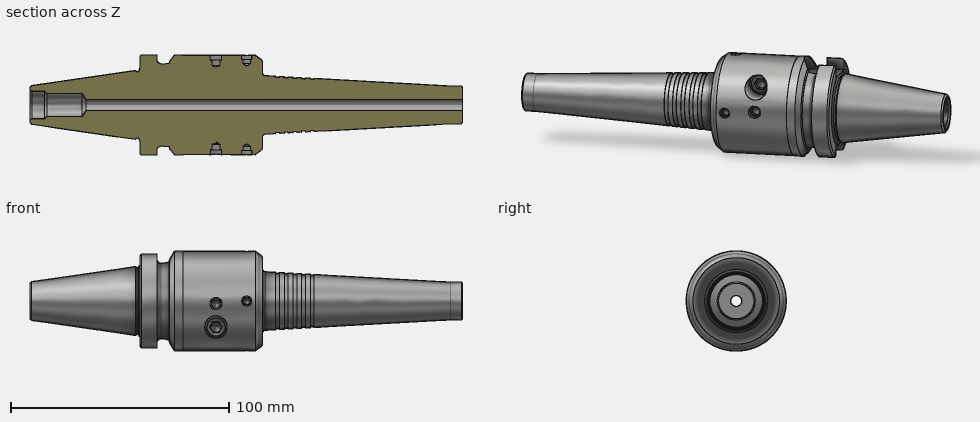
import cadquery as cq
import math


overall_length = 198.4
taper_ratio = 7 / 24
gauge_radius = 15.9
taper_length = 48.5
taper_start_radius = gauge_radius - taper_ratio / 2 * taper_length
taper_edge = 0.8
relief_end = 50.4
relief_depth = 0.5
relief_flare = 0.5
relief_flare_radius = 17.0
flange_radius = 23.0
flange_end = 58.3
flange_edge = 0.8

groove_floor_radius = 19.0
groove_fillet_width = 1.8
groove_fillet_height = 1.5
groove_floor_end = 63.7
groove_step = 0.4
groove_step_radius = 20.2
groove_end = 66.3

collar_end = 70.2
collar_radius = flange_radius
collar_step = 0.1
body_radius = collar_radius - collar_step
body_straight_end = 103.4
body_cone_end = 105.0
body_cone_radius = 21.6
body_end = 106.7
body_face_radius = 19.8
arc_bulge = 0.2

nose_root_radius = 14.5
nose_fillet_end = 108.1
nose_taper_start_radius = 13.5
nose_taper_end = 192.8
nose_tip_radius = 8.7
tip_edge = 0.5
neck_groove_first = 112.7
neck_groove_pitch = 4.0
neck_groove_count = 5
neck_groove_width = 1.8
neck_groove_depth = 0.4

mouth_radius = 7.1
pilot_radius = 12.5 / 2
pilot_depth = 6.7
thread_radius = 10.5 / 2
thread_depth = 24.0
coolant_radius = 5.0 / 2

slot_width = 16.0
slot_floor = 16.3
slot_end = 67.0

drill_point_angle = 118.0
entry_overrun = 2.0
flange_screw_x = 55.4
flange_screw_diameters = [4.2, 3.4, 2.4]
flange_screw_step = 1.0
body_screw_x = 99.4
body_screw_diameters = [4.5, 3.4]
body_screw_step = 2.0

clamp_x = 85.3
clamp_offset = 12.0
clamp_diameter = 10.3
clamp_chamfer = 1.0
clamp_depth = 12.0
socket_across_flats = 5.0
socket_depth = 3.0
pin_offset = 1.2
pin_diameters = [5.5, 4.2]
pin_step = 2.4


def nose_radius(x):
    """Radius of the nose taper at a place along the axis."""
    slope = (nose_taper_start_radius - nose_tip_radius) / (nose_taper_end - nose_fillet_end)
    return nose_taper_start_radius - slope * (x - nose_fillet_end)


def revolve_profile(profile):
    return profile.close().revolve(360, (0, 0, 0), (1, 0, 0))


def make_blank():
    relief_radius = gauge_radius - relief_depth
    groove_fillet_radius = (groove_fillet_width**2 + groove_fillet_height**2) / (2 * groove_fillet_height)
    half_width_square = (groove_fillet_width / 2) ** 2
    groove_fillet_middle = groove_fillet_radius - math.sqrt(groove_fillet_radius**2 - half_width_square)
    body_corner_x = (body_cone_end + body_end) / 2 + arc_bulge
    body_corner_radius = (body_cone_radius + body_face_radius) / 2 + arc_bulge
    nose_fillet_x = (body_end + nose_fillet_end) / 2 - arc_bulge
    nose_fillet_radius = (nose_root_radius + nose_taper_start_radius) / 2 - arc_bulge
    profile = (
        cq.Workplane("XY")
        .moveTo(0, 0)
        .lineTo(0, taper_start_radius - taper_edge)
        .lineTo(taper_edge, taper_start_radius + taper_ratio / 2 * taper_edge)
        .lineTo(taper_length, gauge_radius)
        .lineTo(taper_length + relief_depth, relief_radius)
        .lineTo(relief_end - relief_flare, relief_radius)
        .lineTo(relief_end, relief_flare_radius)
        .lineTo(relief_end, flange_radius - flange_edge)
        .lineTo(relief_end + flange_edge, flange_radius)
        .lineTo(flange_end, flange_radius)
        .lineTo(flange_end, groove_floor_radius + groove_fillet_height)
        .threePointArc(
            (flange_end + groove_fillet_width / 2, groove_floor_radius + groove_fillet_middle),
            (flange_end + groove_fillet_width, groove_floor_radius),
        )
        .lineTo(groove_floor_end, groove_floor_radius)
        .lineTo(groove_floor_end + groove_step, groove_step_radius)
        .lineTo(groove_end, collar_radius)
        .lineTo(collar_end, collar_radius)
        .lineTo(collar_end, body_radius)
        .lineTo(body_straight_end, body_radius)
        .lineTo(body_cone_end, body_cone_radius)
        .threePointArc(
            (body_corner_x, body_corner_radius),
            (body_end, body_face_radius),
        )
        .lineTo(body_end, nose_root_radius)
        .threePointArc((nose_fillet_x, nose_fillet_radius), (nose_fillet_end, nose_taper_start_radius))
        .lineTo(nose_taper_end, nose_tip_radius)
        .lineTo(overall_length - tip_edge, nose_tip_radius)
        .lineTo(overall_length, nose_tip_radius - tip_edge)
        .lineTo(overall_length, 0)
    )
    return revolve_profile(profile)


def make_bore():
    point_length = drill_tip(thread_radius, coolant_radius)
    profile = (
        cq.Workplane("XY")
        .moveTo(0, 0)
        .lineTo(0, mouth_radius)
        .lineTo(mouth_radius - pilot_radius, pilot_radius)
        .lineTo(pilot_depth, pilot_radius)
        .lineTo(pilot_depth + pilot_radius - thread_radius, thread_radius)
        .lineTo(thread_depth, thread_radius)
        .lineTo(thread_depth + point_length, coolant_radius)
        .lineTo(overall_length, coolant_radius)
        .lineTo(overall_length, 0)
    )
    return revolve_profile(profile)


def make_neck_groove(index):
    start = neck_groove_first + index * neck_groove_pitch
    end = start + neck_groove_width
    profile = (
        cq.Workplane("XY")
        .moveTo(start, nose_radius(start) - neck_groove_depth)
        .lineTo(end, nose_radius(end) - neck_groove_depth)
        .lineTo(end, nose_taper_start_radius)
        .lineTo(start, nose_taper_start_radius)
    )
    return revolve_profile(profile)


def make_drive_slot():
    """Round-ended slot open at the taper side, on the +Z side."""
    end_centre = slot_end - slot_width / 2
    return (
        cq.Workplane("XY", origin=(0, 0, slot_floor))
        .moveTo(taper_length, -slot_width / 2)
        .lineTo(end_centre, -slot_width / 2)
        .threePointArc((slot_end, 0), (end_centre, slot_width / 2))
        .lineTo(taper_length, slot_width / 2)
        .close()
        .extrude(flange_radius)
    )


def drill_tip(wide_radius, narrow_radius=0):
    """Length of a drill-point cone between two radii."""
    return (wide_radius - narrow_radius) / math.tan(math.radians(drill_point_angle / 2))


def make_screw_hole(x, y, entry, diameters, step):
    """Hole entered from +Z that narrows in steps of equal depth and ends in a drill point."""
    top = entry_overrun
    profile = cq.Workplane("XZ", origin=(x, y, entry)).moveTo(0, top)
    for count, diameter in enumerate(diameters, start=1):
        profile = profile.lineTo(diameter / 2, top)
        top = -count * step
        profile = profile.lineTo(diameter / 2, top)
    profile = profile.lineTo(0, top - drill_tip(diameters[-1] / 2)).close()
    return profile.revolve(360, (0, 0, 0), (0, 1, 0))


def make_clamp_screw():
    """Hole for the clamp screw, with the chamfered screw head and its hexagon socket at the bottom."""
    hole_radius = clamp_diameter / 2
    head = body_radius - clamp_depth
    hole = (
        cq.Workplane("XZ", origin=(clamp_x, -clamp_offset, head))
        .moveTo(0, 0)
        .lineTo(hole_radius - clamp_chamfer, 0)
        .lineTo(hole_radius, -clamp_chamfer)
        .lineTo(hole_radius, clamp_depth)
        .lineTo(0, clamp_depth)
        .close()
        .revolve(360, (0, 0, 0), (0, 1, 0))
    )
    socket = (
        cq.Workplane("XY", origin=(clamp_x, -clamp_offset, head - socket_depth))
        .polygon(6, socket_across_flats / math.cos(math.pi / 6))
        .extrude(socket_depth)
    )
    socket_point = make_screw_hole(clamp_x, -clamp_offset, head, [socket_across_flats], socket_depth)
    return hole.union(socket).union(socket_point)


def about_axis(shape, angle):
    return shape.rotate((0, 0, 0), (1, 0, 0), angle)


result = make_blank().cut(make_bore())

for index in range(neck_groove_count):
    result = result.cut(make_neck_groove(index))

drive_slot = make_drive_slot()
flange_screw = make_screw_hole(flange_screw_x, 0, slot_floor, flange_screw_diameters, flange_screw_step)
for angle in (0, 180):
    result = result.cut(about_axis(drive_slot, angle))
    result = result.cut(about_axis(flange_screw, angle))

body_screw = make_screw_hole(body_screw_x, 0, body_radius, body_screw_diameters, body_screw_step)
for angle in (0, 90, 180, 270):
    result = result.cut(about_axis(body_screw, angle))

clamp_screw = make_clamp_screw()
pin_hole = make_screw_hole(clamp_x, -pin_offset, body_radius, pin_diameters, pin_step)
for angle in (90, 270):
    result = result.cut(about_axis(clamp_screw, angle))
    result = result.cut(about_axis(pin_hole, angle))